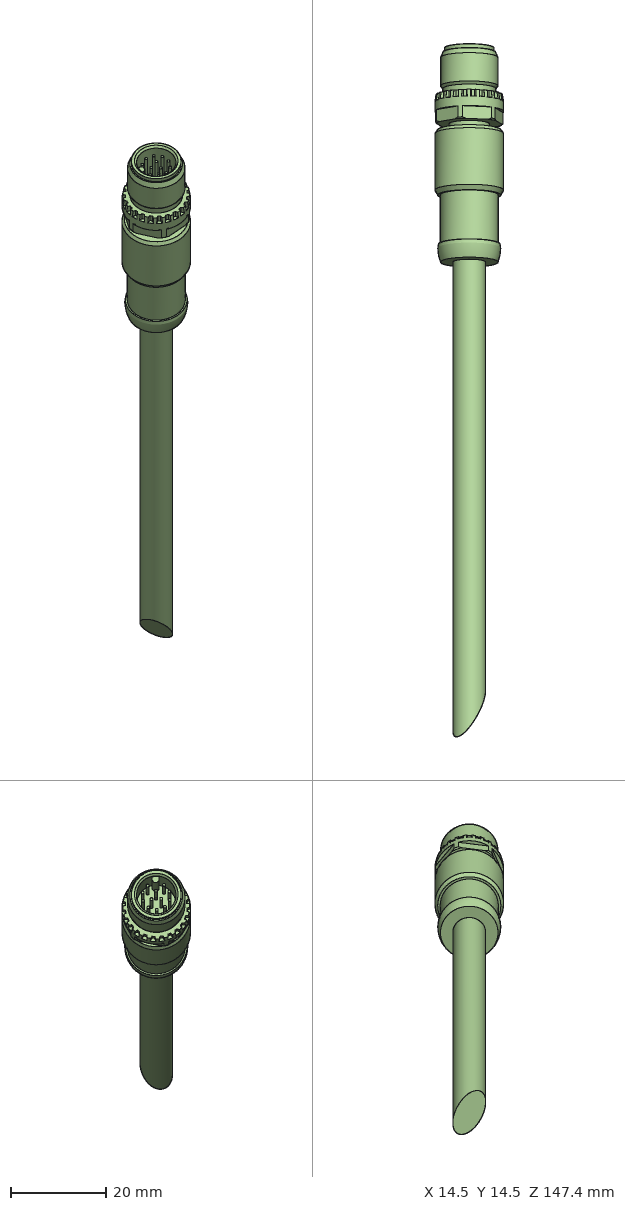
import cadquery as cq
import math

total_height = 147.4
cable_diameter = 7.0
cable_cut_angle = 60.0

mating_face_diameter = 10.5
lead_in_diameter = 11.0
lead_in_depth = 0.9
thread_diameter = 12.1
thread_start_depth = 2.0
thread_end_depth = 8.1
undercut_diameter = 11.2
undercut_start_depth = 8.7
crown_diameter = 14.0
crown_start_depth = 10.0
collar_diameter = 14.5
collar_start_depth = 11.5
hex_start_depth = 13.5
hex_end_depth = 16.2
hex_across_flats = 13.0
hex_bevel = 0.3

groove_count = 24
groove_mouth_width = 1.25
groove_root_width = 0.6
groove_depth = 0.7

neck_diameter = 8.5
body_start_depth = 17.5
body_top_diameter = 13.4
body_bottom_diameter = 13.3
body_diameter = 14.5
body_top_bevel = 0.7
body_end_depth = 30.4
body_bottom_bevel = 1.0
sleeve_diameter = 12.2
clamp_start_depth = 41.9
clamp_edge_diameter = 13.0
clamp_diameter = 13.3
clamp_top_bevel = 0.9
clamp_end_depth = 45.7
clamp_end_diameter = 12.1

socket_diameter = 8.3
socket_depth = 8.0
socket_mouth_bevel = 0.5
key_angle = -135.0
key_width = 1.5
key_tip_radius = 2.8
key_top_depth = 0.9
pin_diameter = 0.6
pin_top_depth = 1.5
outer_pin_radius = 3.0
outer_pin_places = 10
inner_pin_radius = 1.2
inner_pin_count = 3


def height_at(depth):
    """Height above the cable tip of a point this far below the mating end."""
    return total_height - depth


def make_turned_shell():
    """Revolve the outer outline of the connector from mating end to clamp."""
    clamp_round_depth = clamp_start_depth + clamp_top_bevel
    clamp_drop = clamp_end_depth - clamp_round_depth
    clamp_shrink = (clamp_diameter - clamp_end_diameter) / 2
    clamp_round_radius = (clamp_drop**2 + clamp_shrink**2) / (2 * clamp_shrink)
    half_drop = clamp_drop / 2
    arc_sag = clamp_round_radius - math.sqrt(clamp_round_radius**2 - half_drop**2)
    arc_middle = (clamp_diameter / 2 - arc_sag, height_at(clamp_round_depth + half_drop))

    upper_outline = [
        (mating_face_diameter, 0),
        (mating_face_diameter, lead_in_depth),
        (lead_in_diameter, lead_in_depth),
        (thread_diameter, thread_start_depth),
        (thread_diameter, thread_end_depth),
        (undercut_diameter, undercut_start_depth),
        (undercut_diameter, crown_start_depth),
        (crown_diameter, crown_start_depth),
        (collar_diameter, collar_start_depth),
        (collar_diameter, hex_end_depth - hex_bevel),
        (collar_diameter - 2 * hex_bevel, hex_end_depth),
        (neck_diameter, hex_end_depth),
        (neck_diameter, body_start_depth),
        (body_top_diameter, body_start_depth),
        (body_diameter, body_start_depth + body_top_bevel),
        (body_diameter, body_end_depth),
        (body_bottom_diameter, body_end_depth + body_bottom_bevel),
        (sleeve_diameter, body_end_depth + body_bottom_bevel),
        (sleeve_diameter, clamp_start_depth),
        (clamp_edge_diameter, clamp_start_depth),
        (clamp_diameter, clamp_start_depth + clamp_top_bevel),
    ]
    outline = cq.Workplane("XZ").moveTo(0, total_height)
    for diameter, depth in upper_outline:
        outline = outline.lineTo(diameter / 2, height_at(depth))
    outline = outline.threePointArc(arc_middle, (clamp_end_diameter / 2, height_at(clamp_end_depth)))
    outline = outline.lineTo(0, height_at(clamp_end_depth)).close()
    return outline.revolve(360, (0, 0, 0), (0, 1, 0))


def make_hex_trim():
    """Ring of material outside the hexagon, with flats facing +Y and -Y."""
    hex_height = hex_end_depth - hex_start_depth
    trim_outer_radius = collar_diameter
    hex_corner_diameter = hex_across_flats / math.cos(math.radians(30))
    return (
        cq.Workplane("XY", origin=(0, 0, height_at(hex_end_depth)))
        .circle(trim_outer_radius)
        .polygon(6, hex_corner_diameter)
        .extrude(hex_height)
    )


def make_crown_grooves():
    """Upright tapered grooves between the crown serrations, ending at the collar."""
    groove_height = collar_start_depth - crown_start_depth
    root_radius = collar_diameter / 2 - groove_depth
    mouth_radius = collar_diameter / 2
    half_mouth = groove_mouth_width / 2
    half_root = groove_root_width / 2
    groove_corners = [
        (root_radius, -half_root),
        (mouth_radius, -half_mouth),
        (mouth_radius, half_mouth),
        (root_radius, half_root),
    ]
    groove = (
        cq.Workplane("XY", origin=(0, 0, height_at(collar_start_depth)))
        .polyline(groove_corners)
        .close()
        .extrude(groove_height)
    )
    pitch = 360 / groove_count
    grooves = cq.Workplane("XY")
    for i in range(groove_count):
        groove_angle = pitch * (i + 0.5)
        grooves = grooves.add(groove.rotate((0, 0, 0), (0, 0, 1), groove_angle))
    return grooves.combine()


def make_socket():
    """Bore of the socket with a bevelled mouth."""
    bore = (
        cq.Workplane("XY", origin=(0, 0, height_at(socket_depth)))
        .circle(socket_diameter / 2)
        .extrude(socket_depth)
    )
    mouth_radius = socket_diameter / 2 + socket_mouth_bevel
    mouth = (
        cq.Workplane("XY", origin=(0, 0, total_height))
        .circle(mouth_radius)
        .workplane(offset=-socket_mouth_bevel)
        .circle(socket_diameter / 2)
        .loft()
    )
    return bore.union(mouth)


def make_key():
    """Round-tipped coding key standing along the socket wall."""
    tip_centre = key_tip_radius + key_width / 2
    wall_radius = (socket_diameter + mating_face_diameter) / 4
    key = (
        cq.Workplane("XY", origin=(0, 0, height_at(socket_depth)))
        .moveTo(wall_radius, key_width / 2)
        .lineTo(tip_centre, key_width / 2)
        .threePointArc((key_tip_radius, 0), (tip_centre, -key_width / 2))
        .lineTo(wall_radius, -key_width / 2)
        .close()
        .extrude(socket_depth - key_top_depth)
    )
    return key.rotate((0, 0, 0), (0, 0, 1), key_angle)


def make_pins():
    """Outer circle of pins that skips the key, and an inner triangle of pins."""
    outer_pitch = 360 / outer_pin_places
    inner_pitch = 360 / inner_pin_count
    places = [(outer_pin_radius, key_angle + outer_pitch * i) for i in range(1, outer_pin_places)]
    places += [(inner_pin_radius, key_angle + inner_pitch * i) for i in range(inner_pin_count)]
    points = [
        (radius * math.cos(math.radians(angle)), radius * math.sin(math.radians(angle)))
        for radius, angle in places
    ]
    return (
        cq.Workplane("XY", origin=(0, 0, height_at(socket_depth)))
        .pushPoints(points)
        .circle(pin_diameter / 2)
        .extrude(socket_depth - pin_top_depth)
    )


def make_cable():
    """Cable with a slanted cut that leaves its tip on the +Y side."""
    radius = cable_diameter / 2
    cut_height = cable_diameter * math.tan(math.radians(cable_cut_angle))
    cable = cq.Workplane("XY").circle(radius).extrude(height_at(clamp_end_depth))
    waste = (
        cq.Workplane("YZ")
        .polyline([(radius, 0), (-radius, cut_height), (-radius, 0)])
        .close()
        .extrude(radius, both=True)
    )
    return cable.cut(waste)


shell = make_turned_shell().cut(make_hex_trim()).cut(make_crown_grooves()).cut(make_socket())
result = shell.union(make_key()).union(make_pins()).union(make_cable())